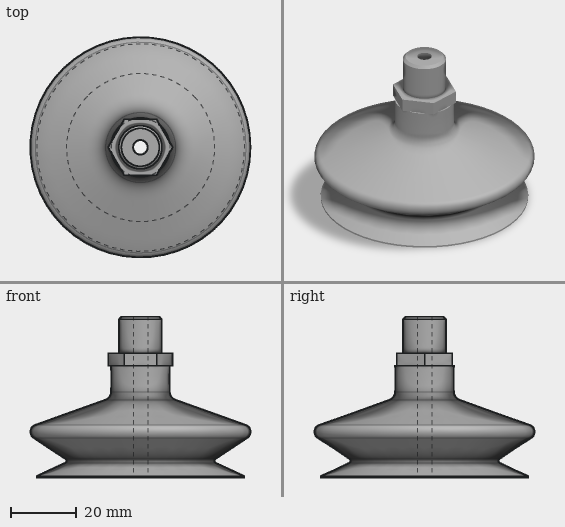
import cadquery as cq
import math

bore_diameter = 4.35
bore_radius = bore_diameter / 2

lip_radius = 31.55
lip_thickness = 0.55
waist_radius = 22.5
waist_round = 0.7
rim_radius = 33.5
rim_round = 2.2
rim_height = 14.0
neck_radius = 9.0
neck_hollow = 0.1
neck_round = 2.55
neck_top = 34.05
upper_slope = 19.7
middle_slope = 33.5
lower_slope = 25.0

hex_across_flats = 17.0
hex_height = 3.9
stud_radius = 6.55
stud_length = 11.05
stud_chamfer = 0.8


def point_on_round(centre, radius, degrees):
    """Point of a circle in the (radius, height) half plane."""
    angle = math.radians(degrees)
    return (centre[0] + radius * math.cos(angle), centre[1] + radius * math.sin(angle))


def height_change(start_radius, end_radius, slope):
    """Height gained along a cone flank between two radii."""
    return abs(end_radius - start_radius) * math.tan(math.radians(slope))


def make_cup():
    rim_centre = (rim_radius - rim_round, rim_height)
    rim_upper = point_on_round(rim_centre, rim_round, 90 - upper_slope)
    rim_middle = (rim_radius, rim_height)
    rim_lower = point_on_round(rim_centre, rim_round, middle_slope - 90)

    waist_centre_radius = waist_radius + waist_round
    waist_upper_angle = 90 + middle_slope
    waist_offset = point_on_round((waist_centre_radius, 0), waist_round, waist_upper_angle)
    waist_upper_height = rim_lower[1] - height_change(waist_offset[0], rim_lower[0], middle_slope)
    waist_centre = (waist_centre_radius, waist_upper_height - waist_offset[1])
    waist_upper = point_on_round(waist_centre, waist_round, waist_upper_angle)
    waist_middle = (waist_radius, waist_centre[1])
    waist_lower = point_on_round(waist_centre, waist_round, 270 - lower_slope)

    neck_centre_radius = neck_radius + neck_round
    neck_lower_angle = 270 - upper_slope
    neck_offset = point_on_round((neck_centre_radius, 0), neck_round, neck_lower_angle)
    neck_lower_height = rim_upper[1] + height_change(neck_offset[0], rim_upper[0], upper_slope)
    neck_centre = (neck_centre_radius, neck_lower_height - neck_offset[1])
    neck_lower = point_on_round(neck_centre, neck_round, neck_lower_angle)
    neck_middle = point_on_round(neck_centre, neck_round, (180 + neck_lower_angle) / 2)
    neck_upper = (neck_radius, neck_centre[1])
    neck_hollow_middle = (neck_radius - neck_hollow, (neck_upper[1] + neck_top) / 2)

    profile = (
        cq.Workplane("XZ")
        .moveTo(bore_radius, 0)
        .lineTo(lip_radius, 0)
        .lineTo(lip_radius, lip_thickness)
        .lineTo(*waist_lower)
        .threePointArc(waist_middle, waist_upper)
        .lineTo(*rim_lower)
        .threePointArc(rim_middle, rim_upper)
        .lineTo(*neck_lower)
        .threePointArc(neck_middle, neck_upper)
        .threePointArc(neck_hollow_middle, (neck_radius, neck_top))
        .lineTo(bore_radius, neck_top)
        .close()
    )
    return profile.revolve(360, (0, 0, 0), (0, 1, 0))


def make_fitting():
    hex_across_corners = hex_across_flats / math.cos(math.radians(30))
    hexagon = (
        cq.Workplane("XY")
        .workplane(offset=neck_top)
        .polygon(6, hex_across_corners)
        .extrude(hex_height)
    )
    stud = (
        cq.Workplane("XY")
        .workplane(offset=neck_top + hex_height)
        .circle(stud_radius)
        .extrude(stud_length)
        .faces(">Z")
        .chamfer(stud_chamfer)
    )
    return hexagon.union(stud).faces(">Z").workplane().circle(bore_radius).cutThruAll()


cup = make_cup()
fitting = make_fitting()

result = cq.Compound.makeCompound([cup.val(), fitting.val()])